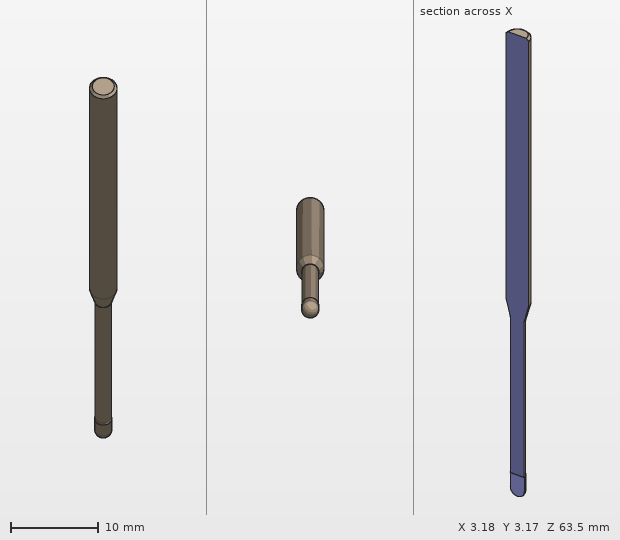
import cadquery as cq
import math

overall_length = 63.5
shank_diameter = 3.175
cutter_diameter = 2.0
neck_diameter = 1.9

cutter_length = 3.0
lead_in_height = 0.36
neck_top = 24.4
shank_bottom = 26.7
chamfer_size = 0.32

shank_radius = shank_diameter / 2
cutter_radius = cutter_diameter / 2
neck_radius = neck_diameter / 2
neck_bottom = cutter_length + lead_in_height


def make_cutter():
    """Cutting cylinder with a hemispherical lower end."""
    arc_offset = cutter_radius * math.sqrt(0.5)
    half_profile = (
        cq.Workplane("XZ")
        .moveTo(0, 0)
        .threePointArc((arc_offset, cutter_radius - arc_offset), (cutter_radius, cutter_radius))
        .lineTo(cutter_radius, cutter_length)
        .lineTo(0, cutter_length)
        .close()
    )
    return half_profile.revolve(360, (0, 0, 0), (0, 1, 0))


def make_shank():
    """Chamfered shank, taper, neck and lead-in cone, resting on the cutter's flat top.

    The taper ends at the cutter diameter, leaving a small step down to the neck.
    """
    half_profile = (
        cq.Workplane("XZ")
        .moveTo(0, cutter_length)
        .lineTo(cutter_radius, cutter_length)
        .lineTo(neck_radius, neck_bottom)
        .lineTo(neck_radius, neck_top)
        .lineTo(cutter_radius, neck_top)
        .lineTo(shank_radius, shank_bottom)
        .lineTo(shank_radius, overall_length - chamfer_size)
        .lineTo(shank_radius - chamfer_size, overall_length)
        .lineTo(0, overall_length)
        .close()
    )
    return half_profile.revolve(360, (0, 0, 0), (0, 1, 0))


cutter = make_cutter()
shank = make_shank()

result = cq.Compound.makeCompound([cutter.val(), shank.val()])